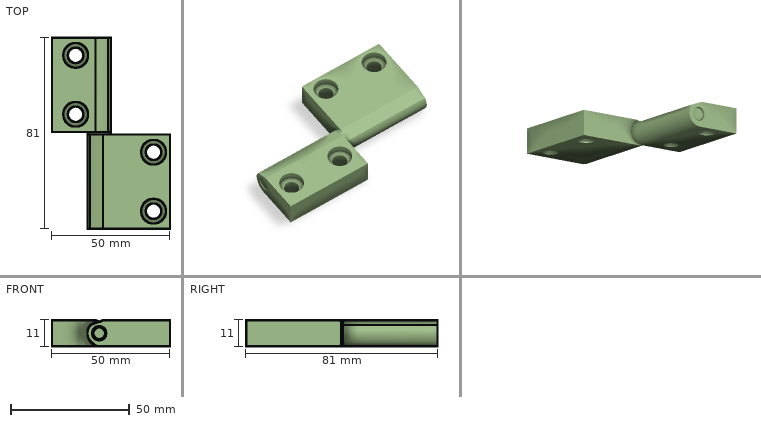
import cadquery as cq
import math


total_length = 81.0
washer_thickness = 1.0
leaf_length = (total_length - washer_thickness) / 2
thickness = 11.0
left_reach = 20.0
right_reach = 30.0

nose_radius = thickness / 2
nose_reach = 5.0
nose_center = nose_radius - nose_reach
relief_start = 1.5
relief_angle = math.radians(21)

screw_hole_diameter = 6.5
counterbore_diameter = 10.5
counterbore_depth = 3.5
left_hole_offset = 10.0
right_hole_offset = 23.0
hole_end_margin = 7.5

pin_diameter = 6.0
pin_tip_diameter = 5.0
pin_chamfer = (pin_diameter - pin_tip_diameter) / 2
pin_recess = 0.5
washer_diameter = 10.0


def relief_end():
    """Point (x, z) where the sloped relief meets the nose arc."""
    slope_x = -math.cos(relief_angle)
    slope_z = -math.sin(relief_angle)
    from_center_x = relief_start - nose_center
    from_center_z = nose_radius
    along = from_center_x * slope_x + from_center_z * slope_z
    excess = from_center_x**2 + from_center_z**2 - nose_radius**2
    distance = -along + math.sqrt(along**2 - excess)
    return relief_start + distance * slope_x, thickness / 2 + distance * slope_z


def cylinder_along_y(diameter, length):
    """Cylinder on the pin axis, centred on the origin."""
    return cq.Workplane("XZ").circle(diameter / 2).extrude(length / 2, both=True)


def make_leaf(reach, hole_offset):
    """Leaf extending toward +X, on the -Y side of the washer."""
    half = thickness / 2
    body = (
        cq.Workplane("XZ", origin=(0, -washer_thickness / 2, 0))
        .moveTo(reach, -half)
        .lineTo(reach, half)
        .lineTo(relief_start, half)
        .lineTo(*relief_end())
        .threePointArc((-nose_reach, 0), (nose_center, -half))
        .close()
        .extrude(leaf_length)
    )
    middle_y = -(washer_thickness + leaf_length) / 2
    hole_spacing = leaf_length - 2 * hole_end_margin
    body = (
        body.cut(cylinder_along_y(pin_diameter, total_length))
        .copyWorkplane(cq.Workplane("XY", origin=(hole_offset, middle_y, half)))
        .rarray(0.8, hole_spacing, 1, 2)
        .cboreHole(screw_hole_diameter, counterbore_diameter, counterbore_depth)
    )
    return body


def make_pin():
    """Pin chamfered at both ends, each end sunk slightly below the end of its leaf."""
    pin_length = total_length - 2 * pin_recess
    return cylinder_along_y(pin_diameter, pin_length).faces("<Y or >Y").chamfer(pin_chamfer)


def make_washer():
    """Spacer ring between the two leaves."""
    ring = cylinder_along_y(washer_diameter, washer_thickness)
    return ring.cut(cylinder_along_y(pin_diameter, washer_thickness))


leaves = [
    make_leaf(reach, hole_offset).rotate((0, 0, 0), (0, 0, 1), turn)
    for reach, hole_offset, turn in (
        (right_reach, right_hole_offset, 0),
        (left_reach, left_hole_offset, 180),
    )
]
pin = make_pin()
washer = make_washer()

result = cq.Compound.makeCompound([*(leaf.val() for leaf in leaves), pin.val(), washer.val()])